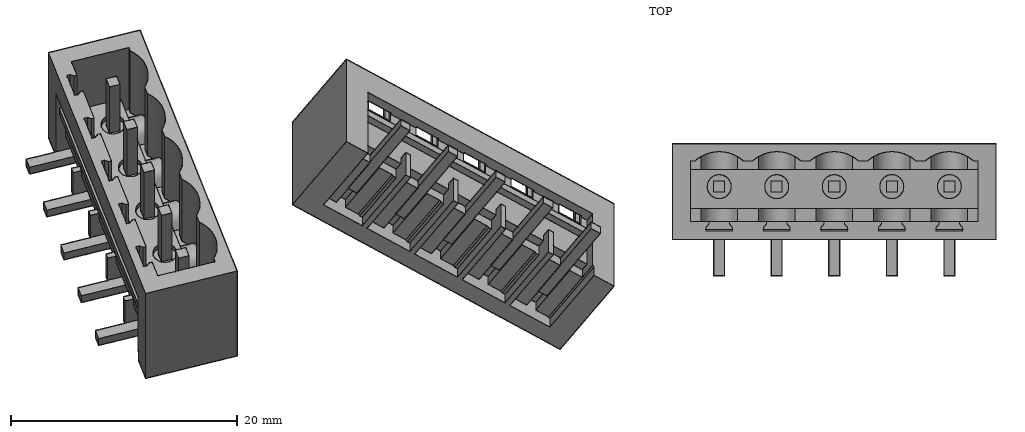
import cadquery as cq
import math

LENGTH = 28.6
DEPTH = 8.5
HEIGHT = 12.0

PIN_COUNT = 5
PITCH = 5.082
PIN_XS = [(i - (PIN_COUNT - 1) / 2) * PITCH for i in range(PIN_COUNT)]
RIB_XS = [(left + right) / 2 for left, right in zip(PIN_XS, PIN_XS[1:])]

PIN_SIZE = 0.97
PIN_Y = 4.7
PIN_TOP = 11.07
TAIL_TOP = 2.5
TAIL_REACH = 3.2
PIN_BACK = PIN_Y + PIN_SIZE / 2
TAIL_BOTTOM = TAIL_TOP - PIN_SIZE

CAVITY_LENGTH = PIN_COUNT * PITCH
CAVITY_FRONT = 1.63
CAVITY_BACK = 6.95
CAVITY_FLOOR = 3.25

SCALLOP_HALF_WIDTH = 2.15
SCALLOP_BACK = 7.78

HUMP_HALF_WIDTH = 1.6
HUMP_ARC_HALF_WIDTH = 1.23
HUMP_SLOPE = math.radians(57)

BAR_FRONT = 2.75
BAR_BACK = 6.2
BAR_TOP = 5.0
RECESS_DIAMETER = 2.12
RECESS_DEPTH = 0.5

KEY_FLOOR = 7.85
KEY_NECK_HALF_WIDTH = 0.92
KEY_HALF_WIDTH = 1.17
KEY_NECK_FRONT = 1.37
KEY_FLARE_FRONT = 1.1
KEY_FRONT = 0.77

WINDOW_LENGTH = 24.02
WINDOW_TOP = 8.87
PANEL_FRONT = 0.9
PANEL_BOTTOM = TAIL_TOP

RAIL_FRONT = 0.3
RAIL_BOTTOM = 5.92
RAIL_TOP = 6.72

RIB_WIDTH = 0.51
RIB_FRONT = 0.11

POCKET_LEFT = -WINDOW_LENGTH / 2
POCKET_RIGHT = 12.15
POCKET_TOP = 1.23
CHANNEL_TOP = 1.37
CHANNEL_HALF_WIDTH = 2.0


def block(x0, x1, y0, y1, z0, z1):
    """Box between two limits along each axis."""
    return cq.Workplane("XY").box(x1 - x0, y1 - y0, z1 - z0, centered=False).translate((x0, y0, z0))


def centred_block(x, width, y0, y1, z0, z1):
    """Box of a given width centred on x."""
    return block(x - width / 2, x + width / 2, y0, y1, z0, z1)


def scallop(x):
    """Upright scallop reaching from inside the cavity into its rear wall."""
    return (
        cq.Workplane("XY", origin=(x, 0, CAVITY_FLOOR))
        .moveTo(-SCALLOP_HALF_WIDTH, PIN_Y)
        .lineTo(-SCALLOP_HALF_WIDTH, CAVITY_BACK)
        .threePointArc((0, SCALLOP_BACK), (SCALLOP_HALF_WIDTH, CAVITY_BACK))
        .lineTo(SCALLOP_HALF_WIDTH, PIN_Y)
        .close()
        .extrude(HEIGHT - CAVITY_FLOOR)
    )


def hump(x):
    """Floor hump along Y: straight flanks joined by a tangent arc."""
    shoulder_z = (HUMP_HALF_WIDTH - HUMP_ARC_HALF_WIDTH) * math.tan(HUMP_SLOPE)
    radius = HUMP_ARC_HALF_WIDTH / math.sin(HUMP_SLOPE)
    crest_z = shoulder_z + radius * (1 - math.cos(HUMP_SLOPE))
    return (
        cq.Workplane("XZ", origin=(x, 0, CAVITY_FLOOR))
        .moveTo(-HUMP_HALF_WIDTH, 0)
        .lineTo(-HUMP_ARC_HALF_WIDTH, shoulder_z)
        .threePointArc((0, crest_z), (HUMP_ARC_HALF_WIDTH, shoulder_z))
        .lineTo(HUMP_HALF_WIDTH, 0)
        .close()
        .extrude(-DEPTH)
    )


def keyway(x):
    """Dovetail slot from the cavity into the front wall."""
    half_outline = [
        (KEY_NECK_HALF_WIDTH, CAVITY_FRONT),
        (KEY_NECK_HALF_WIDTH, KEY_NECK_FRONT),
        (KEY_HALF_WIDTH, KEY_FLARE_FRONT),
        (KEY_HALF_WIDTH, KEY_FRONT),
    ]
    mirrored = [(-px, py) for px, py in reversed(half_outline)]
    return (
        cq.Workplane("XY", origin=(x, 0, KEY_FLOOR))
        .polyline(half_outline + mirrored)
        .close()
        .extrude(HEIGHT - KEY_FLOOR)
    )


def cavity():
    """Space removed from the top, leaving the humps and the bar on its floor."""
    space = centred_block(0, CAVITY_LENGTH, CAVITY_FRONT, CAVITY_BACK, CAVITY_FLOOR, HEIGHT)
    for x in PIN_XS:
        space = space.union(scallop(x))
    for x in PIN_XS:
        space = space.cut(hump(x))
    space = space.cut(centred_block(0, CAVITY_LENGTH, BAR_FRONT, BAR_BACK, CAVITY_FLOOR, BAR_TOP))
    for x in PIN_XS:
        space = space.union(keyway(x))
    return space


def pin_recess(x):
    """Round recess in the bar around one pin."""
    return (
        cq.Workplane("XY", origin=(x, PIN_Y, BAR_TOP))
        .circle(RECESS_DIAMETER / 2)
        .extrude(-RECESS_DEPTH)
    )


def front_recess():
    """Space in front of the panel and below it."""
    window = centred_block(0, WINDOW_LENGTH, 0, PANEL_FRONT, 0, WINDOW_TOP)
    undercut = centred_block(0, WINDOW_LENGTH, 0, CAVITY_FRONT, 0, PANEL_BOTTOM)
    return window.union(undercut)


def channel(x):
    """Shallow channel with 45 degree flanks in the roof of the underside pocket."""
    top_half = CHANNEL_HALF_WIDTH - (CHANNEL_TOP - POCKET_TOP)
    return (
        cq.Workplane("XZ", origin=(x, 0, 0))
        .polyline([
            (-CHANNEL_HALF_WIDTH, POCKET_TOP),
            (-top_half, CHANNEL_TOP),
            (top_half, CHANNEL_TOP),
            (CHANNEL_HALF_WIDTH, POCKET_TOP),
        ])
        .close()
        .extrude(-CAVITY_BACK)
    )


def underside_pocket():
    """Pocket below the floor slab together with its channels, which stop at the pocket ends."""
    pocket = block(POCKET_LEFT, POCKET_RIGHT, 0, CAVITY_BACK, 0, POCKET_TOP)
    for x in PIN_XS:
        pocket = pocket.union(channel(x))
    return pocket.intersect(block(POCKET_LEFT, POCKET_RIGHT, 0, CAVITY_BACK, 0, CHANNEL_TOP))


def pin_passage(x):
    """Slot for the tail, open below along the whole pocket, and square hole for the upright leg."""
    slot = centred_block(x, PIN_SIZE, 0, CAVITY_BACK, 0, TAIL_TOP)
    hole = centred_block(x, PIN_SIZE, PIN_BACK - PIN_SIZE, PIN_BACK, 0, BAR_TOP)
    return slot.union(hole)


def make_housing():
    body = centred_block(0, LENGTH, 0, DEPTH, 0, HEIGHT)
    body = body.cut(cavity()).cut(front_recess()).cut(underside_pocket())
    for x in PIN_XS:
        body = body.cut(pin_recess(x)).cut(pin_passage(x))
    body = body.union(centred_block(0, WINDOW_LENGTH, RAIL_FRONT, PANEL_FRONT, RAIL_BOTTOM, RAIL_TOP))
    for x in RIB_XS:
        body = body.union(centred_block(x, RIB_WIDTH, RIB_FRONT, CAVITY_BACK, 0, CAVITY_FLOOR))
    return body


def make_pin(x):
    upright = centred_block(x, PIN_SIZE, PIN_BACK - PIN_SIZE, PIN_BACK, TAIL_BOTTOM, PIN_TOP)
    tail = centred_block(x, PIN_SIZE, -TAIL_REACH, PIN_BACK, TAIL_BOTTOM, TAIL_TOP)
    return upright.union(tail)


housing = make_housing()
pins = [make_pin(x) for x in PIN_XS]

result = cq.Compound.makeCompound([housing.val(), *[pin.val() for pin in pins]])